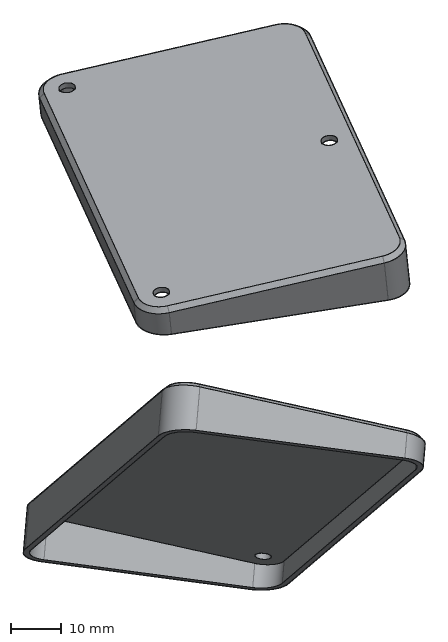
import cadquery as cq
import math

width = 83.0
slope_length = 55.6
tilt = 5.0
overall_height = 10.6
corner_radius = 5.7
top_chamfer = 1.0
thickness = 1.25
hole_diameter = 3.2

half_length = slope_length / 2
center_height = overall_height - (half_length - top_chamfer) * math.sin(math.radians(tilt))
block_depth = 2 * overall_height


def rounded_block(size_x, size_y, radius, top_z):
    """Block with rounded upright corners, hanging down from top_z."""
    return (
        cq.Workplane("XY")
        .workplane(offset=top_z)
        .rect(size_x, size_y)
        .extrude(-block_depth)
        .edges("|Z")
        .fillet(radius)
    )


shell = rounded_block(width, slope_length, corner_radius, 0)
shell = shell.faces(">Z").edges().chamfer(top_chamfer)

cavity = rounded_block(
    width - 2 * thickness, slope_length - 2 * thickness, corner_radius - thickness, -thickness
)
shell = shell.cut(cavity)

hole_x = width / 2 - corner_radius
hole_y = half_length - corner_radius
hole_centers = [(-hole_x, -hole_y), (hole_x, -hole_y), (0, hole_y)]
holes = (
    cq.Workplane("XY")
    .pushPoints(hole_centers)
    .circle(hole_diameter / 2)
    .extrude(-block_depth)
)
shell = shell.cut(holes)

shell = shell.rotate((0, 0, 0), (1, 0, 0), tilt).translate((0, 0, center_height))

trim_size = 2 * width
below_base = cq.Workplane("XY").rect(trim_size, trim_size).extrude(-trim_size)
result = shell.cut(below_base)